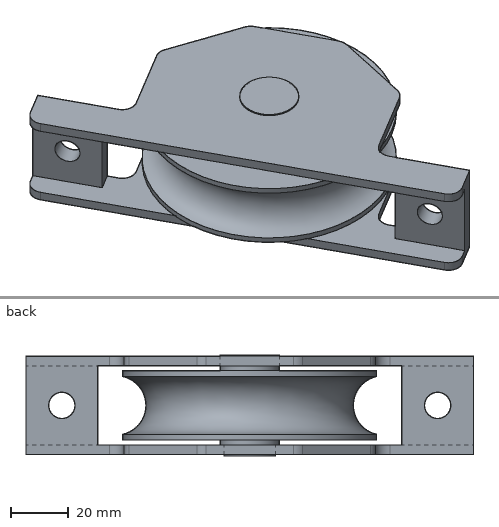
import cadquery as cq

FRAME_LENGTH = 155.0
FRAME_HEIGHT = 34.1
PLATE_THICKNESS = 3.4
PLATE_FRONT_Y = -35.0
PLATE_BACK_Y = 35.8
FLANGE_BACK_Y = -20.3
HEAD_HALF_WIDTH = 43.5
HEAD_SHOULDER_Y = 13.8
HEAD_TOP_HALF_WIDTH = 16.9
CORNER_RADIUS = 5.0

BLOCK_LENGTH = 25.0
BLOCK_THICKNESS = 6.7
BOLT_HOLE_DIAMETER = 9.0

WHEEL_DIAMETER = 88.0
WHEEL_WIDTH = 24.0
RIM_WIDTH = 2.0
GROOVE_DEPTH = 8.0

AXLE_DIAMETER = 20.5
AXLE_TIP_DIAMETER = 18.0
AXLE_PROTRUSION = 0.5

half_length = FRAME_LENGTH / 2
half_height = FRAME_HEIGHT / 2
plate_inner_z = half_height - PLATE_THICKNESS
axle_end_z = half_height + AXLE_PROTRUSION


def is_rounded_corner(edge):
    """True for every upright corner except the two at the rear ends of the flange."""
    center = edge.Center()
    at_frame_end = abs(center.x) > HEAD_HALF_WIDTH + CORNER_RADIUS
    at_flange_back = center.y > FLANGE_BACK_Y - CORNER_RADIUS
    return not (at_frame_end and at_flange_back)


def make_plate(bottom_z, bore_diameter):
    """Side plate with a long front flange, a tapered head and an axle bore."""
    right_side = [
        (half_length, PLATE_FRONT_Y),
        (half_length, FLANGE_BACK_Y),
        (HEAD_HALF_WIDTH, FLANGE_BACK_Y),
        (HEAD_HALF_WIDTH, HEAD_SHOULDER_Y),
        (HEAD_TOP_HALF_WIDTH, PLATE_BACK_Y),
    ]
    left_side = [(-x, y) for x, y in reversed(right_side)]
    plate = (
        cq.Workplane("XY", origin=(0, 0, bottom_z))
        .polyline(right_side + left_side)
        .close()
        .extrude(PLATE_THICKNESS)
    )

    plate = plate.edges("|Z").filter(is_rounded_corner).fillet(CORNER_RADIUS)

    bore = cq.Workplane("XY", origin=(0, 0, bottom_z)).circle(bore_diameter / 2).extrude(PLATE_THICKNESS)
    return plate.cut(bore)


def make_block(side):
    """Mounting block with a bolt hole along Y; side is -1 or 1 for the end of the frame."""
    center_x = side * (half_length - BLOCK_LENGTH / 2)
    return (
        cq.Workplane("XZ", origin=(center_x, FLANGE_BACK_Y, 0))
        .rect(BLOCK_LENGTH, 2 * plate_inner_z)
        .circle(BOLT_HOLE_DIAMETER / 2)
        .extrude(BLOCK_THICKNESS)
    )


def make_frame():
    """Upper and lower plates and the two mounting blocks as one solid."""
    frame = make_plate(plate_inner_z, AXLE_DIAMETER)
    for side in (-1, 1):
        frame = frame.union(make_block(side))
    return frame.union(make_plate(-half_height, AXLE_TIP_DIAMETER))


def make_wheel():
    """Wheel with a round rope groove and its stepped axle, revolved about Z."""
    rim_radius = WHEEL_DIAMETER / 2
    axle_radius = AXLE_DIAMETER / 2
    tip_radius = AXLE_TIP_DIAMETER / 2
    half_width = WHEEL_WIDTH / 2
    groove_edge_z = half_width - RIM_WIDTH
    return (
        cq.Workplane("XZ")
        .moveTo(0, -axle_end_z)
        .lineTo(tip_radius, -axle_end_z)
        .lineTo(tip_radius, -plate_inner_z)
        .lineTo(axle_radius, -plate_inner_z)
        .lineTo(axle_radius, -half_width)
        .lineTo(rim_radius, -half_width)
        .lineTo(rim_radius, -groove_edge_z)
        .threePointArc((rim_radius - GROOVE_DEPTH, 0), (rim_radius, groove_edge_z))
        .lineTo(rim_radius, half_width)
        .lineTo(axle_radius, half_width)
        .lineTo(axle_radius, axle_end_z)
        .lineTo(0, axle_end_z)
        .close()
        .revolve(360, (0, 0, 0), (0, 1, 0))
    )


frame = make_frame()
wheel = make_wheel()

result = cq.Compound.makeCompound([frame.val(), wheel.val()])